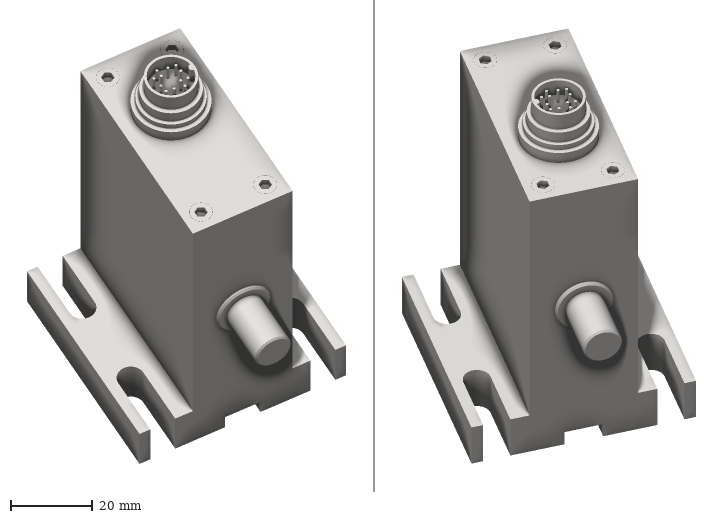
import cadquery as cq
import math

TOTAL_HEIGHT = 96.0
SHAFT_LENGTH = 90.0
BASE_SIDE = 58.0

BASE_THICKNESS = 12.0
BODY_DEPTH = 28.0
BODY_TOP = 83.0
KEYWAY_WIDTH = 10.0
KEYWAY_DEPTH = 4.0

SLOT_WIDTH = 7.0
SLOT_CENTER_Y = 22.5
SLOT_TIP_X = 9.0

SHAFT_Z = 45.0
SHAFT_DIAMETER = 10.0
SHAFT_CHAMFER = 0.5
COLLAR_DIAMETER = 15.0
COLLAR_LENGTH = 1.0
COLLAR_CHAMFER = 0.5

SCREW_X = 24.0
SCREW_Y = 9.0
SCREW_HOLE_DIAMETER = 5.9
SCREW_HEAD_DIAMETER = 5.8
SCREW_HEAD_HEIGHT = 2.9
SOCKET_ACROSS_FLATS = 2.9
SOCKET_ACROSS_CORNERS = SOCKET_ACROSS_FLATS / math.cos(math.radians(30))
SOCKET_DEPTH = 1.9

CONNECTOR_X = -8.0
CONNECTOR_STEPS = [(20.0, 3.3), (17.7, 1.6), (15.7, 3.3)]
SLEEVE_DIAMETER = 13.4
SLEEVE_BORE = 12.0
SLEEVE_BORE_DEPTH = 4.8
KEY_DIAMETER = 2.0
PIN_DIAMETER = 0.76
PIN_HEIGHT = 4.0
PIN_CIRCLES = [(4.2, (27, 63, 135)), (3.4, (105, 165)), (2.5, (45,))]


def cylinder_z(diameter, height, bottom, x=0, y=0):
    """Upright cylinder standing on the given level."""
    return cq.Workplane("XY", origin=(x, y, bottom)).circle(diameter / 2).extrude(height)


def make_housing():
    """Square base flange with the narrower block on it and a keyway along the underside."""
    base = cq.Workplane("XY").box(BASE_SIDE, BASE_SIDE, BASE_THICKNESS, centered=(True, True, False))
    block = cq.Workplane("XY").box(BASE_SIDE, BODY_DEPTH, BODY_TOP, centered=(True, True, False))
    keyway = cq.Workplane("XY").box(BASE_SIDE, KEYWAY_WIDTH, KEYWAY_DEPTH, centered=(True, True, False))
    return base.union(block).cut(keyway)


def make_slots():
    """Four round-ended slots, open at the two X ends of the base."""
    slot_length = BASE_SIDE
    slot_center_x = SLOT_TIP_X + slot_length / 2
    centers = [(sx * slot_center_x, sy * SLOT_CENTER_Y) for sx in (-1, 1) for sy in (-1, 1)]
    return cq.Workplane("XY").pushPoints(centers).slot2D(slot_length, SLOT_WIDTH).extrude(BASE_THICKNESS)


def make_shaft():
    """Through shaft with chamfered ends and a chamfered collar on each side of the housing."""
    collar_span = BASE_SIDE + 2 * COLLAR_LENGTH
    middle = cq.Workplane("YZ", origin=(0, 0, SHAFT_Z))
    shaft = middle.circle(SHAFT_DIAMETER / 2).extrude(SHAFT_LENGTH / 2, both=True)
    collars = middle.circle(COLLAR_DIAMETER / 2).extrude(collar_span / 2, both=True)
    shaft = shaft.faces("<X or >X").chamfer(SHAFT_CHAMFER)
    collars = collars.faces("<X or >X").chamfer(COLLAR_CHAMFER)
    return shaft.union(collars)


def make_screw_cuts():
    """Narrow gap around each flush screw head, and the hexagon socket in its middle."""
    corners = [(sx * SCREW_X, sy * SCREW_Y) for sx in (-1, 1) for sy in (-1, 1)]
    top = cq.Workplane("XY", origin=(0, 0, BODY_TOP)).pushPoints(corners)
    gaps = top.circle(SCREW_HOLE_DIAMETER / 2).circle(SCREW_HEAD_DIAMETER / 2).extrude(-SCREW_HEAD_HEIGHT)
    sockets = top.polygon(6, SOCKET_ACROSS_CORNERS).extrude(-SOCKET_DEPTH)
    return gaps.union(sockets)


def make_connector():
    """Stepped plug with a bored sleeve, a half-round key inside the bore and twelve contact pins."""
    level = BODY_TOP
    plug = cq.Workplane("XY")
    for diameter, height in CONNECTOR_STEPS:
        plug = plug.union(cylinder_z(diameter, height, level, CONNECTOR_X))
        level += height
    plug = plug.union(cylinder_z(SLEEVE_DIAMETER, TOTAL_HEIGHT - level, level, CONNECTOR_X))

    bore_floor = TOTAL_HEIGHT - SLEEVE_BORE_DEPTH
    bore = cylinder_z(SLEEVE_BORE, SLEEVE_BORE_DEPTH, bore_floor, CONNECTOR_X)
    key = cylinder_z(KEY_DIAMETER, SLEEVE_BORE_DEPTH, bore_floor, CONNECTOR_X, SLEEVE_BORE / 2)
    plug = plug.cut(bore.cut(key))

    for radius, angles in PIN_CIRCLES:
        for angle in angles:
            for turn in (0, 180):
                direction = math.radians(angle + turn)
                pin_x = CONNECTOR_X + radius * math.cos(direction)
                pin_y = radius * math.sin(direction)
                plug = plug.union(cylinder_z(PIN_DIAMETER, PIN_HEIGHT, bore_floor, pin_x, pin_y))
    return plug


housing = make_housing().cut(make_slots()).cut(make_screw_cuts())
result = housing.union(make_shaft()).union(make_connector())